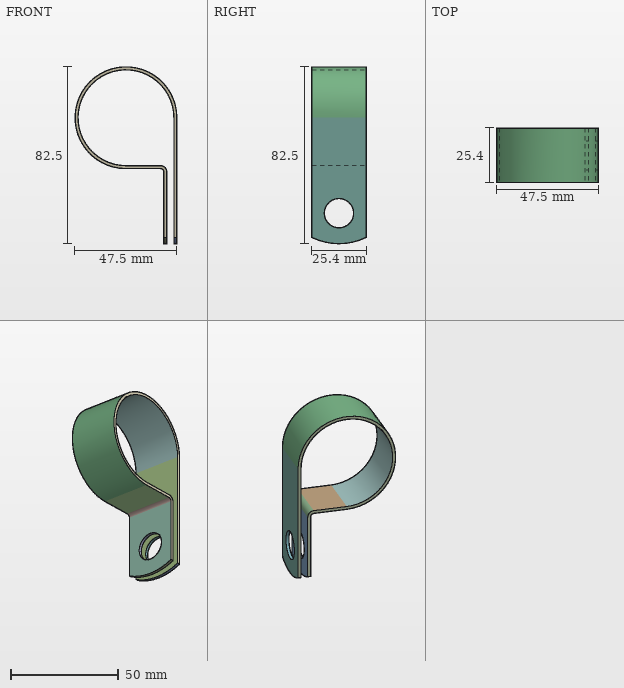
import cadquery as cq
import math

total_height = 82.5
strip_width = 25.4
thickness = 1.5
loop_radius = 23.75
leg_gap = 3.2
bend_radius = 3.0
hole_diameter = 13.5
hole_height = 14.3
tip_rise = 3.0

inner_radius = loop_radius - thickness
tip_z = loop_radius - total_height
short_leg_outer = inner_radius - leg_gap
short_leg_inner = short_leg_outer - thickness
half_width = strip_width / 2
diagonal = math.sqrt(0.5)


def bent_strip():
    """Side profile of the loop, ledge and two legs, extruded across the width."""
    bend_x = short_leg_outer - bend_radius
    bend_z = -inner_radius - bend_radius
    inner_bend = bend_radius - thickness
    profile = (
        cq.Workplane("XZ")
        .moveTo(loop_radius, tip_z)
        .lineTo(loop_radius, 0)
        .threePointArc((-loop_radius * diagonal, loop_radius * diagonal), (0, -loop_radius))
        .lineTo(bend_x, -loop_radius)
        .threePointArc(
            (bend_x + inner_bend * diagonal, bend_z + inner_bend * diagonal),
            (short_leg_inner, bend_z),
        )
        .lineTo(short_leg_inner, tip_z)
        .lineTo(short_leg_outer, tip_z)
        .lineTo(short_leg_outer, bend_z)
        .threePointArc(
            (bend_x + bend_radius * diagonal, bend_z + bend_radius * diagonal),
            (bend_x, -inner_radius),
        )
        .lineTo(0, -inner_radius)
        .threePointArc((-inner_radius * diagonal, inner_radius * diagonal), (inner_radius, 0))
        .lineTo(inner_radius, tip_z)
        .close()
    )
    return profile.extrude(half_width, both=True)


def rounded_tip_envelope():
    """Block around the whole strip whose lower end is a shallow arc."""
    return (
        cq.Workplane("YZ", origin=(-loop_radius, 0, 0))
        .moveTo(-half_width, loop_radius)
        .lineTo(-half_width, tip_z + tip_rise)
        .threePointArc((0, tip_z), (half_width, tip_z + tip_rise))
        .lineTo(half_width, loop_radius)
        .close()
        .extrude(2 * loop_radius)
    )


def bolt_hole():
    """Cylinder passing through both legs."""
    return (
        cq.Workplane("YZ")
        .center(0, tip_z + hole_height)
        .circle(hole_diameter / 2)
        .extrude(loop_radius + thickness)
    )


result = bent_strip().intersect(rounded_tip_envelope()).cut(bolt_hole())